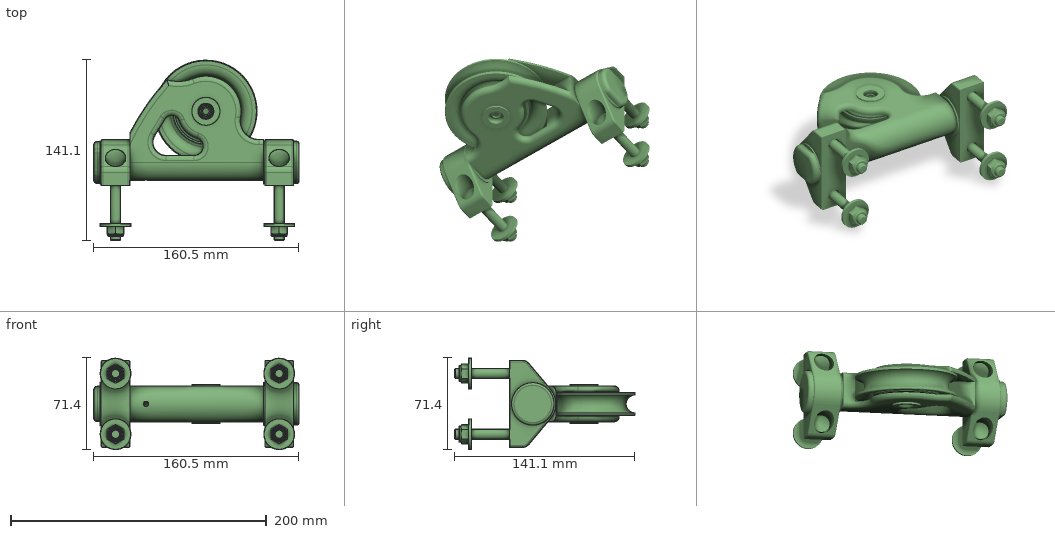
import cadquery as cq
import math


SHAFT_RADIUS = 14.0
BODY_LEFT = -59.4
BODY_LENGTH = 104.5
BODY_RIGHT = BODY_LEFT + BODY_LENGTH
HEAD_RADIUS = 16.5
LEFT_HEAD_LENGTH = 4.9
LEFT_HEAD_FLAT = 13.8
LEFT_HEAD_CORNER_RADIUS = 5.0
LEFT_HEAD_FILLET = 3.0
RIGHT_HEAD_RADIUS = 16.6
RIGHT_HEAD_LENGTH = 4.3
RIGHT_HEAD_FILLET = 2.0
FLANGE_RADIUS = 16.7
FLANGE_THICKNESS = 1.0

GRUB_X = -46.8
GRUB_DIAMETER = 4.0
GRUB_RECESS = 0.8
GRUB_SOCKET_DIAMETER = 2.0
GRUB_SOCKET_DEPTH = 3.0

CLAMP_WIDTH = 22.4
CLAMP_NOSE_RADIUS = 18.0
CLAMP_BACK_Y = -18.0
CLAMP_HALF_HEIGHT = 34.0
CLAMP_SLOPE_ANGLE = 40.1
CLAMP_CORNER_RADIUS = 6.0
CLAMP_EDGE_FILLET = 1.3
LEFT_CLAMP_X = BODY_LEFT - CLAMP_WIDTH / 2
RIGHT_CLAMP_X = BODY_RIGHT + FLANGE_THICKNESS + CLAMP_WIDTH / 2

BOLT_SPACING = 47.4
BOLT_DIAMETER = 8.0
BOLT_END_Y = -61.09
BOLT_END_CHAMFER = 0.8
BOLT_HOLE_DIAMETER = 9.6
BOLT_HEAD_DIAMETER = 13.0
BOLT_HEAD_HEIGHT = 7.0
COUNTERBORE_DIAMETER = 15.8
COUNTERBORE_FLOOR_Y = -12.0
WASHER_DIAMETER = 24.0
WASHER_THICKNESS = 2.4
WASHER_FRONT_Y = -50.2
NUT_ACROSS_FLATS = 13.0
NUT_HEX_HEIGHT = 6.0
NUT_CHAMFER_HEIGHT = 0.7
NUT_COLLAR_DIAMETER = 12.5
NUT_COLLAR_HEIGHT = 1.6
NUT_COLLAR_CHAMFER = 0.6
NUT_OPENING_DIAMETER = 9.6
NUT_OPENING_DEPTH = 0.5

PIN_Y = 40.0
CHEEK_HALF_THICKNESS = 14.0
CHEEK_FILLET = 4.0
CHEEK_NOSE_RADIUS = 27.5
CHEEK_SHOULDER_Y = 18.0
FLANK_CENTER = (105.4, -61.0)
FLANK_RADIUS = 185.0
DIP_RADIUS = 30.0
DIP_ANGLE = 112.0
SHOULDER_ARC_RADIUS = 14.6
TRIM_MARGIN = 10.0

WINDOW_FLOOR_Y = 5.5
WINDOW_PIN_RADIUS = 22.0
WINDOW_LEFT_RADIUS = 10.3
WINDOW_LEFT_X = -31.0
WINDOW_TOP_RADIUS = 6.3
WINDOW_TOP_ANGLE = 199.5
WINDOW_RIGHT_RADIUS = 7.0

SHEAVE_RADIUS = 40.0
SHEAVE_HALF_WIDTH = 9.0
ROPE_GROOVE_RADIUS = 7.0
RIM_CHAMFER = 0.5
RIM_INNER_RADIUS = 36.3
WEB_ARC_END_RADIUS = 28.0
WEB_VALLEY_RADIUS = 26.9
WEB_VALLEY_Z = 2.6
HUB_RADIUS = 25.7
HUB_HALF_WIDTH = 7.5
RACE_OUTER_RADIUS = 24.2
RACE_INNER_RADIUS = 22.3
RACE_DEPTH = 1.5
SLOT_RADIUS = 42.0
SLOT_HALF_WIDTH = 9.4

PIN_DIAMETER = 16.0
PIN_HEAD_DIAMETER = 21.9
PIN_HALF_LENGTH = 15.3
PIN_RECESS_DIAMETER = 11.0
PIN_RECESS_CHAMFER = 0.75
PIN_RECESS_DEPTH = 5.0
SCREW_HEAD_DIAMETER = 9.2
SCREW_HEAD_HEIGHT = 2.0
SCREW_HEAD_CHAMFER = 1.0
SCREW_SOCKET_ACROSS_FLATS = 5.0
SCREW_SOCKET_DEPTH = 1.5

HEX_CORNER_RATIO = 1 / math.cos(math.pi / 6)


def polar(center, radius, angle):
    """Point at a radius and an angle in degrees from a centre."""
    a = math.radians(angle)
    return (center[0] + radius * math.cos(a), center[1] + radius * math.sin(a))


def direction(start, end):
    """Angle in degrees of the line from start to end."""
    return math.degrees(math.atan2(end[1] - start[1], end[0] - start[0]))


def arc_mid(center, radius, start, end, turn):
    """Middle point of an arc; turn is +1 for counter-clockwise and -1 for clockwise."""
    first = direction(center, start)
    sweep = (turn * (direction(center, end) - first)) % 360
    return polar(center, radius, first + turn * sweep / 2)


def left_circle_crossing(center_1, radius_1, center_2, radius_2):
    """Crossing point of two circles on the left of the line from centre 1 to centre 2."""
    gap = math.dist(center_1, center_2)
    cosine = (gap ** 2 + radius_1 ** 2 - radius_2 ** 2) / (2 * gap * radius_1)
    offset = math.degrees(math.acos(cosine))
    return polar(center_1, radius_1, direction(center_1, center_2) + offset)


def box(x_min, x_max, y_min, y_max, half_height):
    """Axis-aligned box, symmetric about Z = 0."""
    return (
        cq.Workplane("XY")
        .box(x_max - x_min, y_max - y_min, 2 * half_height)
        .translate(((x_min + x_max) / 2, (y_min + y_max) / 2, 0))
    )


def cylinder_x(x_start, length, radius):
    return cq.Workplane("YZ", origin=(x_start, 0, 0)).circle(radius).extrude(length)


def cylinder_y(x, z, y_start, y_end, diameter):
    """Cylinder along Y; y_end is below y_start."""
    return cq.Workplane("XZ", origin=(x, y_start, z)).circle(diameter / 2).extrude(y_start - y_end)


def cylinder_z(z_min, z_max, diameter):
    """Cylinder on the pin axis."""
    return cq.Workplane("XY", origin=(0, PIN_Y, z_min)).circle(diameter / 2).extrude(z_max - z_min)


def both_sides(solid):
    return solid.union(solid.mirror("XY"))


def flank_y(x):
    """Height of the sloping flank arc at x."""
    return FLANK_CENTER[1] + math.sqrt(FLANK_RADIUS ** 2 - (x - FLANK_CENTER[0]) ** 2)


def make_cheek_plate():
    """Solid plate with rounded outline, cut off flat at both ends and at the shaft axis."""
    pin = (0, PIN_Y)
    left = BODY_LEFT - TRIM_MARGIN
    right = BODY_RIGHT + TRIM_MARGIN
    bottom = -TRIM_MARGIN

    flank_start = (left, flank_y(left))
    dip_center = polar(pin, CHEEK_NOSE_RADIUS + DIP_RADIUS, DIP_ANGLE)
    tip = left_circle_crossing(FLANK_CENTER, FLANK_RADIUS, dip_center, DIP_RADIUS)
    nose_start = polar(pin, CHEEK_NOSE_RADIUS, DIP_ANGLE)

    shoulder_center_y = CHEEK_SHOULDER_Y + SHOULDER_ARC_RADIUS
    shoulder_reach = CHEEK_NOSE_RADIUS + SHOULDER_ARC_RADIUS
    shoulder_center_x = math.sqrt(shoulder_reach ** 2 - (shoulder_center_y - PIN_Y) ** 2)
    shoulder_center = (shoulder_center_x, shoulder_center_y)
    nose_end = polar(pin, CHEEK_NOSE_RADIUS, direction(pin, shoulder_center))
    shoulder_end = (shoulder_center_x, CHEEK_SHOULDER_Y)

    plate = (
        cq.Workplane("XY", origin=(0, 0, -CHEEK_HALF_THICKNESS))
        .moveTo(left, bottom)
        .lineTo(*flank_start)
        .threePointArc(arc_mid(FLANK_CENTER, FLANK_RADIUS, flank_start, tip, -1), tip)
        .threePointArc(arc_mid(dip_center, DIP_RADIUS, tip, nose_start, 1), nose_start)
        .threePointArc(arc_mid(pin, CHEEK_NOSE_RADIUS, nose_start, nose_end, -1), nose_end)
        .threePointArc(
            arc_mid(shoulder_center, SHOULDER_ARC_RADIUS, nose_end, shoulder_end, 1), shoulder_end
        )
        .lineTo(right, CHEEK_SHOULDER_Y)
        .lineTo(right, bottom)
        .close()
        .extrude(2 * CHEEK_HALF_THICKNESS)
    )
    plate = plate.cut(make_window())
    plate = plate.faces("<Z or >Z").edges().fillet(CHEEK_FILLET)
    top = PIN_Y + SHEAVE_RADIUS
    return plate.intersect(box(BODY_LEFT, BODY_RIGHT, 0, top, CHEEK_HALF_THICKNESS))


def make_window():
    """Kidney-shaped opening: three lobes joined by two straight sides and an arc about the pin."""
    pin = (0, PIN_Y)
    left_center = (WINDOW_LEFT_X, WINDOW_FLOOR_Y + WINDOW_LEFT_RADIUS)
    top_center = polar(pin, WINDOW_PIN_RADIUS + WINDOW_TOP_RADIUS, WINDOW_TOP_ANGLE)
    right_reach = WINDOW_PIN_RADIUS + WINDOW_RIGHT_RADIUS
    right_center_y = WINDOW_FLOOR_Y + WINDOW_RIGHT_RADIUS
    right_center = (-math.sqrt(right_reach ** 2 - (PIN_Y - right_center_y) ** 2), right_center_y)

    lobe_gap = math.dist(left_center, top_center)
    tilt = math.degrees(math.acos((WINDOW_LEFT_RADIUS - WINDOW_TOP_RADIUS) / lobe_gap))
    side_normal = direction(left_center, top_center) + tilt

    floor_left = (left_center[0], WINDOW_FLOOR_Y)
    side_bottom = polar(left_center, WINDOW_LEFT_RADIUS, side_normal)
    side_top = polar(top_center, WINDOW_TOP_RADIUS, side_normal)
    inner_top = polar(pin, WINDOW_PIN_RADIUS, WINDOW_TOP_ANGLE)
    inner_end = polar(pin, WINDOW_PIN_RADIUS, direction(pin, right_center))
    floor_right = (right_center[0], WINDOW_FLOOR_Y)
    return (
        cq.Workplane("XY", origin=(0, 0, -CHEEK_HALF_THICKNESS))
        .moveTo(*floor_left)
        .threePointArc(
            arc_mid(left_center, WINDOW_LEFT_RADIUS, floor_left, side_bottom, -1), side_bottom
        )
        .lineTo(*side_top)
        .threePointArc(arc_mid(top_center, WINDOW_TOP_RADIUS, side_top, inner_top, -1), inner_top)
        .threePointArc(arc_mid(pin, WINDOW_PIN_RADIUS, inner_top, inner_end, 1), inner_end)
        .threePointArc(
            arc_mid(right_center, WINDOW_RIGHT_RADIUS, inner_end, floor_right, -1), floor_right
        )
        .close()
        .extrude(2 * CHEEK_HALF_THICKNESS)
    )


def make_sheave_slot():
    """Round pocket around the sheave, open toward the sloping flank."""
    pocket = cylinder_z(-SLOT_HALF_WIDTH, SLOT_HALF_WIDTH, 2 * SLOT_RADIUS)
    opening = box(BODY_LEFT, 0, flank_y(BODY_LEFT), PIN_Y + SHEAVE_RADIUS, SLOT_HALF_WIDTH)
    return pocket.union(opening)


def make_grub_screw_recess():
    surface_y = -SHAFT_RADIUS
    recess_y = surface_y + GRUB_RECESS
    recess = cylinder_y(GRUB_X, 0, recess_y, surface_y, GRUB_DIAMETER)
    socket = cylinder_y(GRUB_X, 0, surface_y + GRUB_SOCKET_DEPTH, surface_y, GRUB_SOCKET_DIAMETER)
    return recess.union(socket)


def make_body():
    """Cheek plate on the front half of the shaft, with the sheave slot and the pin bore."""
    front_half = box(BODY_LEFT, BODY_RIGHT, -SHAFT_RADIUS, 0, SHAFT_RADIUS)
    shaft = cylinder_x(BODY_LEFT, BODY_LENGTH, SHAFT_RADIUS).intersect(front_half)
    pin_bore = cylinder_z(-CHEEK_HALF_THICKNESS, CHEEK_HALF_THICKNESS, PIN_HEAD_DIAMETER)
    body = make_cheek_plate().union(shaft).cut(pin_bore)
    return body.cut(make_sheave_slot()).cut(make_grub_screw_recess())


def make_sheave():
    """Rope wheel with dished sides and a bearing race; half section revolved about the pin."""
    web_arc_radius = SHEAVE_HALF_WIDTH
    web_arc_center = (RIM_INNER_RADIUS, 0)
    rim_corner = (RIM_INNER_RADIUS, SHEAVE_HALF_WIDTH)
    web_drop = math.sqrt(web_arc_radius ** 2 - (RIM_INNER_RADIUS - WEB_ARC_END_RADIUS) ** 2)
    web_end = (WEB_ARC_END_RADIUS, web_drop)
    race_floor = HUB_HALF_WIDTH - RACE_DEPTH
    half = (
        cq.Workplane("XZ")
        .moveTo(0, 0)
        .lineTo(SHEAVE_RADIUS, 0)
        .lineTo(SHEAVE_RADIUS, SHEAVE_HALF_WIDTH - RIM_CHAMFER)
        .lineTo(SHEAVE_RADIUS - RIM_CHAMFER, SHEAVE_HALF_WIDTH)
        .lineTo(*rim_corner)
        .threePointArc(arc_mid(web_arc_center, web_arc_radius, rim_corner, web_end, 1), web_end)
        .threePointArc((WEB_VALLEY_RADIUS, WEB_VALLEY_Z), (HUB_RADIUS, web_drop))
        .lineTo(HUB_RADIUS, HUB_HALF_WIDTH)
        .lineTo(RACE_OUTER_RADIUS, HUB_HALF_WIDTH)
        .lineTo(RACE_OUTER_RADIUS, race_floor)
        .lineTo(RACE_INNER_RADIUS, race_floor)
        .lineTo(RACE_INNER_RADIUS, HUB_HALF_WIDTH)
        .lineTo(0, HUB_HALF_WIDTH)
        .close()
        .revolve(360, (0, 0, 0), (0, 1, 0))
        .translate((0, PIN_Y, 0))
    )
    rope_groove = cq.Solid.makeTorus(SHEAVE_RADIUS, ROPE_GROOVE_RADIUS, cq.Vector(0, PIN_Y, 0))
    return both_sides(half).cut(cq.Workplane(rope_groove))


def make_pin_end():
    """Upper half of the sheave pin: head disc, chamfered recess and socket screw."""
    core = cylinder_z(0, CHEEK_HALF_THICKNESS, PIN_DIAMETER)
    head = cylinder_z(SLOT_HALF_WIDTH, PIN_HALF_LENGTH, PIN_HEAD_DIAMETER)
    recess_floor = PIN_HALF_LENGTH - PIN_RECESS_DEPTH
    recess = cylinder_z(recess_floor, PIN_HALF_LENGTH, PIN_RECESS_DIAMETER)
    pin = core.union(head).cut(recess)
    pin = pin.edges(cq.selectors.RadiusNthSelector(0)).edges(">Z").chamfer(PIN_RECESS_CHAMFER)
    screw_top = recess_floor + SCREW_HEAD_HEIGHT
    screw = cylinder_z(recess_floor, screw_top, SCREW_HEAD_DIAMETER)
    screw = screw.faces(">Z").chamfer(SCREW_HEAD_CHAMFER)
    socket = (
        cq.Workplane("XY", origin=(0, PIN_Y, screw_top))
        .polygon(6, SCREW_SOCKET_ACROSS_FLATS * HEX_CORNER_RATIO)
        .extrude(-SCREW_SOCKET_DEPTH)
    )
    return pin.union(screw.cut(socket))


def make_clamp(x):
    """Clamp block with a round nose, two slopes and two counterbored bolt holes."""
    slope = math.radians(CLAMP_SLOPE_ANGLE)
    tangent_y = CLAMP_NOSE_RADIUS * math.cos(slope)
    tangent_z = CLAMP_NOSE_RADIUS * math.sin(slope)
    corner_y = (CLAMP_NOSE_RADIUS - CLAMP_HALF_HEIGHT * math.sin(slope)) / math.cos(slope)
    clamp = (
        cq.Workplane("YZ", origin=(x - CLAMP_WIDTH / 2, 0, 0))
        .moveTo(CLAMP_BACK_Y, -CLAMP_HALF_HEIGHT)
        .lineTo(corner_y, -CLAMP_HALF_HEIGHT)
        .lineTo(tangent_y, -tangent_z)
        .threePointArc((CLAMP_NOSE_RADIUS, 0), (tangent_y, tangent_z))
        .lineTo(corner_y, CLAMP_HALF_HEIGHT)
        .lineTo(CLAMP_BACK_Y, CLAMP_HALF_HEIGHT)
        .close()
        .extrude(CLAMP_WIDTH)
    )
    clamp = clamp.faces("<Z or >Z").edges("|X and (not <Y)").fillet(CLAMP_CORNER_RADIUS)
    clamp = clamp.faces("<X or >X").edges("not(<Y)").fillet(CLAMP_EDGE_FILLET)
    for z in (-BOLT_SPACING / 2, BOLT_SPACING / 2):
        clamp = clamp.cut(cylinder_y(x, z, CLAMP_NOSE_RADIUS, COUNTERBORE_FLOOR_Y, COUNTERBORE_DIAMETER))
        clamp = clamp.cut(cylinder_y(x, z, COUNTERBORE_FLOOR_Y, CLAMP_BACK_Y, BOLT_HOLE_DIAMETER))
    return clamp


def make_lock_nut(x, z, y_start):
    """Hex nut with chamfered corners and a collar around the bolt."""
    hex_end = y_start - NUT_HEX_HEIGHT
    collar_end = hex_end - NUT_COLLAR_HEIGHT
    corner_diameter = NUT_ACROSS_FLATS * HEX_CORNER_RATIO
    hexagon = (
        cq.Workplane("XZ", origin=(x, y_start, z))
        .transformed(rotate=(0, 0, 90))
        .polygon(6, corner_diameter)
        .extrude(NUT_HEX_HEIGHT)
    )
    corner_cone = (
        cylinder_y(x, z, y_start, hex_end, corner_diameter)
        .faces("<Y")
        .chamfer(NUT_CHAMFER_HEIGHT, (corner_diameter - NUT_COLLAR_DIAMETER) / 2)
    )
    collar = cylinder_y(x, z, hex_end, collar_end, NUT_COLLAR_DIAMETER)
    collar = collar.faces("<Y").chamfer(NUT_COLLAR_CHAMFER)
    opening = cylinder_y(x, z, collar_end + NUT_OPENING_DEPTH, collar_end, NUT_OPENING_DIAMETER)
    return hexagon.intersect(corner_cone).union(collar.cut(opening))


def make_bolt(x, z):
    """Bolt seated in the counterbore, with its washer and lock nut."""
    head_top = COUNTERBORE_FLOOR_Y + BOLT_HEAD_HEIGHT
    head = cylinder_y(x, z, head_top, COUNTERBORE_FLOOR_Y, BOLT_HEAD_DIAMETER)
    shank = cylinder_y(x, z, COUNTERBORE_FLOOR_Y, BOLT_END_Y, BOLT_DIAMETER)
    shank = shank.faces("<Y").chamfer(BOLT_END_CHAMFER)
    washer_back = WASHER_FRONT_Y + WASHER_THICKNESS
    washer = cylinder_y(x, z, washer_back, WASHER_FRONT_Y, WASHER_DIAMETER)
    nut = make_lock_nut(x, z, WASHER_FRONT_Y)
    return head.union(shank).union(washer).union(nut)


def make_left_head():
    """Round head with two flats and a rounded outer edge, on the left bushing flange."""
    flange_x = LEFT_CLAMP_X - CLAMP_WIDTH / 2 - FLANGE_THICKNESS
    head_x = flange_x - LEFT_HEAD_LENGTH
    flats = box(head_x, flange_x, -HEAD_RADIUS, HEAD_RADIUS, LEFT_HEAD_FLAT)
    head = cylinder_x(head_x, LEFT_HEAD_LENGTH, HEAD_RADIUS).intersect(flats)
    head = head.edges("|X").fillet(LEFT_HEAD_CORNER_RADIUS)
    head = head.faces("<X").edges().fillet(LEFT_HEAD_FILLET)
    return head.union(cylinder_x(flange_x, FLANGE_THICKNESS, FLANGE_RADIUS))


def make_right_head():
    """Round head with a rounded outer edge."""
    head = cylinder_x(RIGHT_CLAMP_X + CLAMP_WIDTH / 2, RIGHT_HEAD_LENGTH, RIGHT_HEAD_RADIUS)
    return head.faces(">X").edges().fillet(RIGHT_HEAD_FILLET)


result = make_body().union(make_sheave()).union(both_sides(make_pin_end()))
result = result.union(cylinder_x(BODY_RIGHT, FLANGE_THICKNESS, FLANGE_RADIUS))
for clamp_x in (LEFT_CLAMP_X, RIGHT_CLAMP_X):
    result = result.union(make_clamp(clamp_x))
    for bolt_z in (-BOLT_SPACING / 2, BOLT_SPACING / 2):
        result = result.union(make_bolt(clamp_x, bolt_z))
result = result.union(make_left_head()).union(make_right_head())